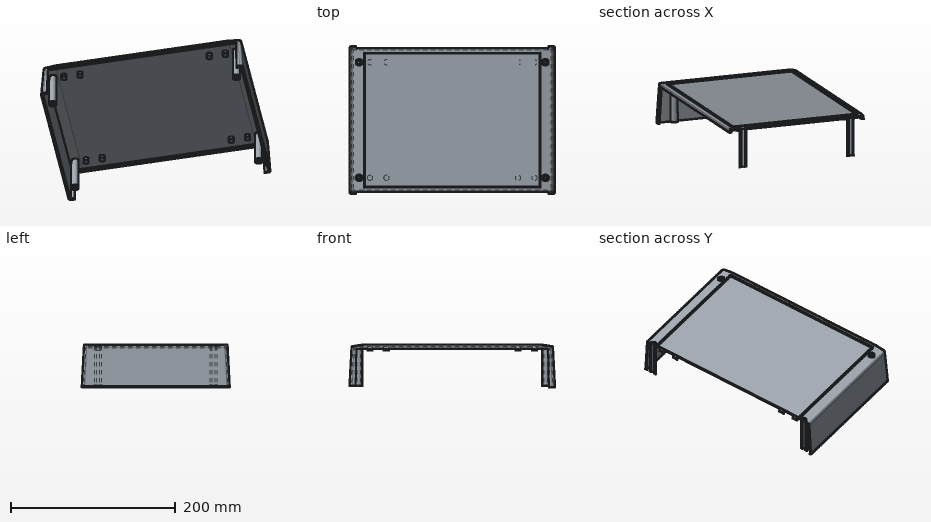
import cadquery as cq
import math

length = 250.0
width = 180.0
height = 52.5

side_lean = 2.8
strip_width = 17.5
strip_drop = 2.2
wall = 2.5
corner_radius = 3.5
roof_edge_radius = 1.88

foot_step = 2.2
foot_chamfer = 1.0

rim_height = 5.5
opening_half_top = 116.5
opening_half_foot = 117.5

panel_length = 214.5
panel_width = 163.5
groove_width = 1.0
groove_depth = 0.8

post_x = 113.8
post_y = 70.2
post_diameter = 9.0
hole_diameter = 4.0
sink_diameter = 7.5
sink_angle = 90

standoff_places = (80.0, 100.0)
standoff_diameter = 6.5
standoff_reach = 1.8

foot_growth = side_lean / height * (foot_step + foot_chamfer)
lean_angle = math.degrees(math.atan(side_lean / height))
crease_half = length / 2 - strip_width
strip_slope = strip_drop / (strip_width - side_lean)


def prism_along_y(points):
    """Extrude an XZ outline across more than the full width."""
    return cq.Workplane("XZ").polyline(points).close().extrude(width, both=True)


def envelope(inset):
    """Leaning box under the creased roof, with every face but the foot moved inward by `inset`."""
    foot_length = length + foot_growth - 2 * inset
    foot_width = width + foot_growth - 2 * inset
    box = cq.Workplane("XY").rect(foot_length, foot_width).extrude(height, taper=lean_angle)
    top = height - inset
    far = length
    far_top = top - (far - crease_half) * strip_slope
    roof = prism_along_y([
        (-far, 0),
        (far, 0),
        (far, far_top),
        (crease_half, top),
        (-crease_half, top),
        (-far, far_top),
    ])
    return box.intersect(roof)


def outer_body():
    """Solid envelope with rounded corners, a rounded roof edge and a chamfered foot."""
    upright = cq.selectors.BoxSelector((-length, -width, height / 3), (length, width, height * 2 / 3))
    body = envelope(0).edges(upright).fillet(corner_radius)

    def is_roof_rim(edge):
        center = edge.Center()
        is_crease = abs(center.y) < wall and abs(center.x) < crease_half + wall
        return center.z > height - strip_drop - wall / 2 and not is_crease

    body = body.edges().filter(is_roof_rim).fillet(roof_edge_radius)
    return body.faces("<Z").chamfer(foot_chamfer)


def opening():
    """Tapered passage between the two end walls, below the roof rim."""
    top = height - rim_height
    return prism_along_y([
        (-opening_half_foot, 0),
        (opening_half_foot, 0),
        (opening_half_top, top),
        (-opening_half_top, top),
    ])


def left_foot_cut():
    """Block that shortens the left wall."""
    block = cq.Workplane("XY").box(length, 2 * width, foot_step, centered=(True, True, False))
    return block.translate((-length / 2, 0, 0))


def mirrored_points(x, y):
    return [(side_x * x, side_y * y) for side_x in (-1, 1) for side_y in (-1, 1)]


def hanging_pins(points, diameter, bottom):
    """Round pins from `bottom` up into the roof."""
    pins = cq.Workplane("XY").workplane(offset=bottom).pushPoints(points).circle(diameter / 2)
    return pins.extrude(height).intersect(envelope(wall / 2))


def panel_groove():
    """Rectangular ring cutting the groove around the label panel."""
    return (
        cq.Workplane("XY")
        .workplane(offset=height - groove_depth)
        .rect(panel_length, panel_width)
        .rect(panel_length - 2 * groove_width, panel_width - 2 * groove_width)
        .extrude(groove_depth)
    )


def screw_hole():
    """Countersunk hole along Z, its rim level with the sloping strip at the post centre."""
    flare = math.tan(math.radians(sink_angle / 2))
    hole_radius = hole_diameter / 2
    sink_radius = sink_diameter / 2
    rim_z = height - strip_slope * (post_x - crease_half)
    cone_top = rim_z + strip_drop
    profile = cq.Workplane("XZ").polyline([
        (0, 0),
        (hole_radius, 0),
        (hole_radius, rim_z - (sink_radius - hole_radius) / flare),
        (sink_radius + strip_drop * flare, cone_top),
        (0, cone_top),
    ]).close()
    return profile.revolve(360, (0, 0), (0, 1))


body = outer_body().cut(opening()).cut(envelope(wall)).cut(left_foot_cut())

post_points = mirrored_points(post_x, post_y)
body = body.union(hanging_pins(post_points, post_diameter, foot_step))
standoff_bottom = height - rim_height - standoff_reach
for place in standoff_places:
    body = body.union(hanging_pins(mirrored_points(place, post_y), standoff_diameter, standoff_bottom))

body = body.cut(panel_groove())
for x, y in post_points:
    body = body.cut(screw_hole().translate((x, y, 0)))

result = body